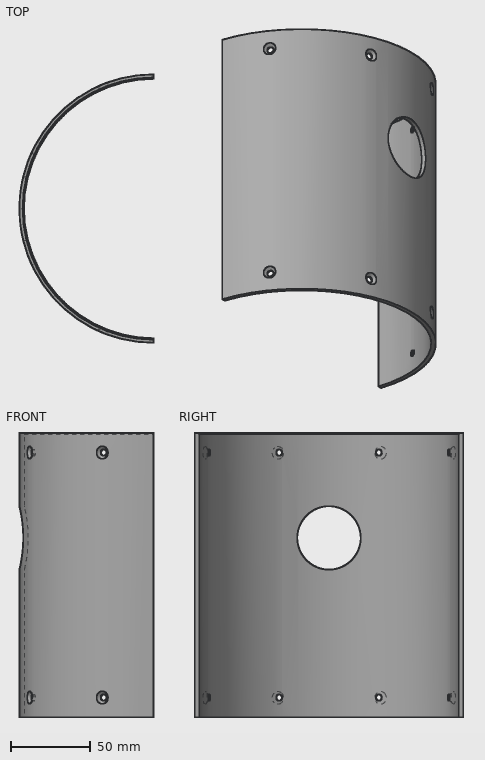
import cadquery as cq
import math

outer_radius = 85.0
wall = 3.0
height = 180.0
inner_radius = outer_radius - wall
rim_chamfer = 1.0

window_diameter = 40.0
window_drop = 66.5

screw_diameter = 4.0
countersink_diameter = 8.0
countersink_angle = 90.0
screw_edge_distance = 12.5
screws_per_row = 4
screw_pitch_angle = 180.0 / screws_per_row
first_screw_angle = 90.0 + screw_pitch_angle / 2


def make_shell():
    """Half ring on the -X side, extruded to full height."""
    return (
        cq.Workplane("XY")
        .moveTo(0, outer_radius)
        .threePointArc((-outer_radius, 0), (0, -outer_radius))
        .lineTo(0, -inner_radius)
        .threePointArc((-inner_radius, 0), (0, inner_radius))
        .close()
        .extrude(height)
    )


def make_rim_chamfer_cutter():
    """Upward-widening cone that bevels the inner edge of the top rim."""
    return cq.Workplane(
        cq.Solid.makeCone(
            inner_radius,
            inner_radius + rim_chamfer,
            rim_chamfer,
            cq.Vector(0, 0, height - rim_chamfer),
        )
    )


def make_window_cutter():
    """Cylinder along X that opens the window on the -X side."""
    return (
        cq.Workplane("YZ")
        .center(0, height - window_drop)
        .circle(window_diameter / 2)
        .extrude(-outer_radius)
    )


def make_screw_cutter(angle, z):
    """Radial screw hole whose countersink opens on the outer surface."""
    radial = cq.Vector(math.cos(math.radians(angle)), math.sin(math.radians(angle)), 0)
    mouth = radial * outer_radius + cq.Vector(0, 0, z)
    inward = radial * -1
    hole = cq.Solid.makeCylinder(screw_diameter / 2, 2 * wall, mouth, inward)
    cone_depth = countersink_diameter / 2 / math.tan(math.radians(countersink_angle / 2))
    countersink = cq.Solid.makeCone(countersink_diameter / 2, 0, cone_depth, mouth, inward)
    return hole.fuse(countersink)


result = make_shell().cut(make_rim_chamfer_cutter()).cut(make_window_cutter())
for row_z in (screw_edge_distance, height - screw_edge_distance):
    for index in range(screws_per_row):
        screw_angle = first_screw_angle + index * screw_pitch_angle
        result = result.cut(cq.Workplane(make_screw_cutter(screw_angle, row_z)))